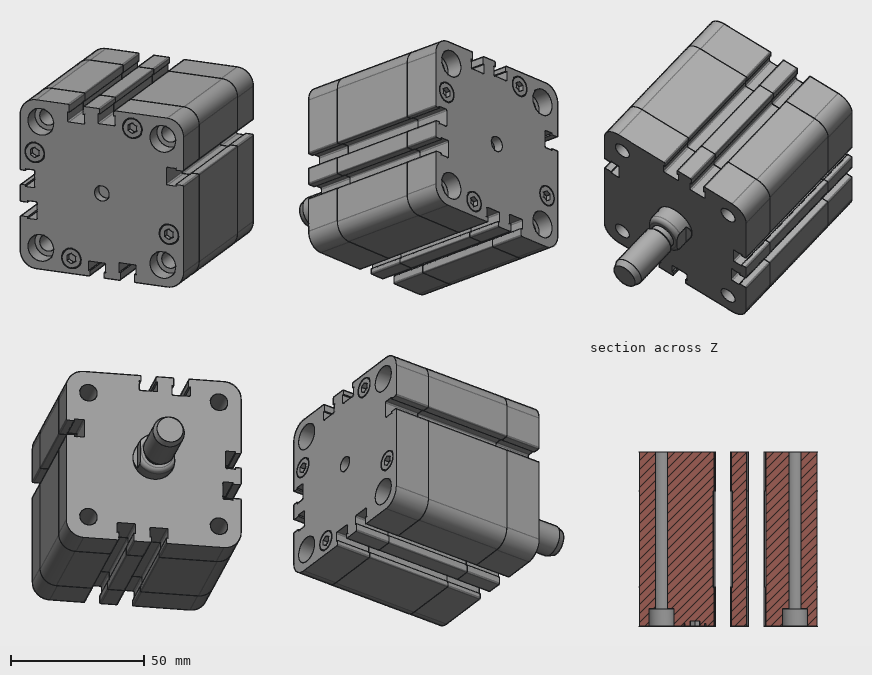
import cadquery as cq
import math

cap_side = 67.0
cap_length = 14.8
cap_corner_radius = 6.65
profile_length = 36.0
profile_recess = 0.1
profile_side = cap_side - 2 * profile_recess
profile_corner_radius = 6.2
housing_length = 2 * cap_length + profile_length

slot_neck_width = 5.7
slot_head_width = 7.0
slot_head_height = 3.85
cap_slot_edge_radius = 0.5
profile_slot_edge_radius = 0.3
deep_slot_offset = -10.5
deep_slot_depth = 7.0
shallow_slot_offset = 2.0
shallow_slot_depth = 6.0

mount_offset = 25.0
mount_hole_diameter = 6.65
mount_bore_diameter = 10.5
mount_bore_depth = 6.6

screw_near_offset = 12.5
screw_far_offset = 27.5
screw_bore_diameter = 8.0
screw_head_diameter = 7.5
screw_gap_depth = 1.0
screw_hex_flats = 3.5
screw_hex_depth = 2.0

center_hole_diameter = 6.0
center_hole_depth = 4.0

collar_diameter = 16.0
collar_length = 7.5
collar_end_radius = 1.8
wrench_flats = 13.0
wrench_flat_length = 5.75
neck_diameter = 10.0
neck_length = 2.5
thread_diameter = 12.0
thread_root_chamfer = 0.5
thread_tip_diameter = 10.0
thread_tip_length = 2.6
rod_end = 97.0


def plane_at(y):
    """Plane at height y whose normal is +Y; local x is world X and local y is world -Z."""
    return cq.Workplane("XZ", origin=(0, y, 0)).transformed(rotate=(180, 0, 0))


def turned_about_y(body, quarter_turns):
    return body.rotate((0, 0, 0), (0, 1, 0), 90 * quarter_turns)


def slot(x, depth, length, recess, edge_radius):
    """T-slot cutter opening on the +Z side, with a slightly rounded mouth and head corners.

    The recess lowers the whole slot and widens it on both sides.
    """
    top = cap_side / 2 - recess
    floor = top - depth
    shoulder = floor + slot_head_height
    neck = slot_neck_width / 2 + recess
    head = slot_head_width / 2 + recess
    r = edge_radius
    sag = r * (1 - math.sqrt(0.5))
    outline = (
        cq.Workplane("XZ")
        .moveTo(x - neck - r, top)
        .threePointArc((x - neck - sag, top - sag), (x - neck, top - r))
        .lineTo(x - neck, shoulder)
        .lineTo(x - head, shoulder)
        .lineTo(x - head, floor + r)
        .threePointArc((x - head + sag, floor + sag), (x - head + r, floor))
        .lineTo(x + head - r, floor)
        .threePointArc((x + head - sag, floor + sag), (x + head, floor + r))
        .lineTo(x + head, shoulder)
        .lineTo(x + neck, shoulder)
        .lineTo(x + neck, top - r)
        .threePointArc((x + neck + sag, top - sag), (x + neck + r, top))
        .close()
    )
    return outline.extrude(-length)


def cut_slots(body, length, recess, edge_radius):
    """Each side has a deep slot; all sides but +X also have a shallow one."""
    deep = slot(deep_slot_offset, deep_slot_depth, length, recess, edge_radius)
    shallow = slot(shallow_slot_offset, shallow_slot_depth, length, recess, edge_radius)
    plus_x_turn = 1
    for turn in range(4):
        body = body.cut(turned_about_y(deep, turn))
        if turn != plus_x_turn:
            body = body.cut(turned_about_y(shallow, turn))
    return body


def slotted_block(length, side, corner_radius, recess, edge_radius):
    """Square block from Y = 0 with rounded corners and the sensor slots cut along it."""
    block = plane_at(0).rect(side, side).extrude(length).edges("|Y").fillet(corner_radius)
    return cut_slots(block, length, recess, edge_radius)


def housing():
    cap = slotted_block(cap_length, cap_side, cap_corner_radius, 0, cap_slot_edge_radius)
    profile = slotted_block(
        profile_length, profile_side, profile_corner_radius, profile_recess, profile_slot_edge_radius
    )
    rear_and_profile = cap.union(profile.translate((0, cap_length, 0)))
    return rear_and_profile.union(cap.translate((0, cap_length + profile_length, 0)))


def cut_mount_holes(body):
    spacing = 2 * mount_offset
    through = plane_at(0).rarray(spacing, spacing, 2, 2).circle(mount_hole_diameter / 2)
    body = body.cut(through.extrude(housing_length))
    bores = plane_at(0).rarray(spacing, spacing, 2, 2).circle(mount_bore_diameter / 2)
    return body.cut(bores.extrude(mount_bore_depth))


def cut_screws(body):
    """Ring gap around each screw head and the hexagon socket inside it."""
    gap = (
        plane_at(0)
        .circle(screw_bore_diameter / 2)
        .circle(screw_head_diameter / 2)
        .extrude(screw_gap_depth)
    )
    hex_corners = screw_hex_flats / math.cos(math.pi / 6)
    socket = plane_at(0).transformed(rotate=(0, 0, 90)).polygon(6, hex_corners).extrude(screw_hex_depth)
    cutter = gap.union(socket)
    for turn in range(4):
        angle = math.pi / 2 * turn
        x = screw_near_offset * math.cos(angle) + screw_far_offset * math.sin(angle)
        z = screw_far_offset * math.cos(angle) - screw_near_offset * math.sin(angle)
        body = body.cut(cutter.translate((x, 0, z)))
    return body


def cut_center_hole(body):
    return body.cut(plane_at(0).circle(center_hole_diameter / 2).extrude(center_hole_depth))


def collar():
    """Rod collar with a rounded end, and two wrench flats that run out at 45 degrees."""
    body = plane_at(housing_length).circle(collar_diameter / 2).extrude(collar_length)
    body = body.faces(">Y").edges().fillet(collar_end_radius)
    collar_end = housing_length + collar_length
    flat_start = collar_end - wrench_flat_length
    flat_x = wrench_flats / 2
    flat_depth = collar_diameter / 2 - flat_x
    flat_cutter = (
        cq.Workplane("XY")
        .moveTo(flat_x, collar_end)
        .lineTo(flat_x, flat_start)
        .lineTo(flat_x + flat_depth, flat_start - flat_depth)
        .lineTo(flat_x + flat_depth, collar_end)
        .close()
        .extrude(collar_diameter / 2, both=True)
    )
    return body.cut(flat_cutter).cut(flat_cutter.mirror("YZ"))


def threaded_end():
    """Turned neck and threaded stud beyond the collar."""
    neck_start = housing_length + collar_length
    thread_start = neck_start + neck_length
    thread_radius = thread_diameter / 2
    return (
        cq.Workplane("XY")
        .moveTo(0, neck_start)
        .lineTo(neck_diameter / 2, neck_start)
        .lineTo(neck_diameter / 2, thread_start)
        .lineTo(thread_radius - thread_root_chamfer, thread_start)
        .lineTo(thread_radius, thread_start + thread_root_chamfer)
        .lineTo(thread_radius, rod_end - thread_tip_length)
        .lineTo(thread_tip_diameter / 2, rod_end)
        .lineTo(0, rod_end)
        .close()
        .revolve(360, (0, 0, 0), (0, 1, 0))
    )


body = housing()
body = cut_mount_holes(body)
body = cut_screws(body)
body = cut_center_hole(body)
result = body.union(collar()).union(threaded_end())